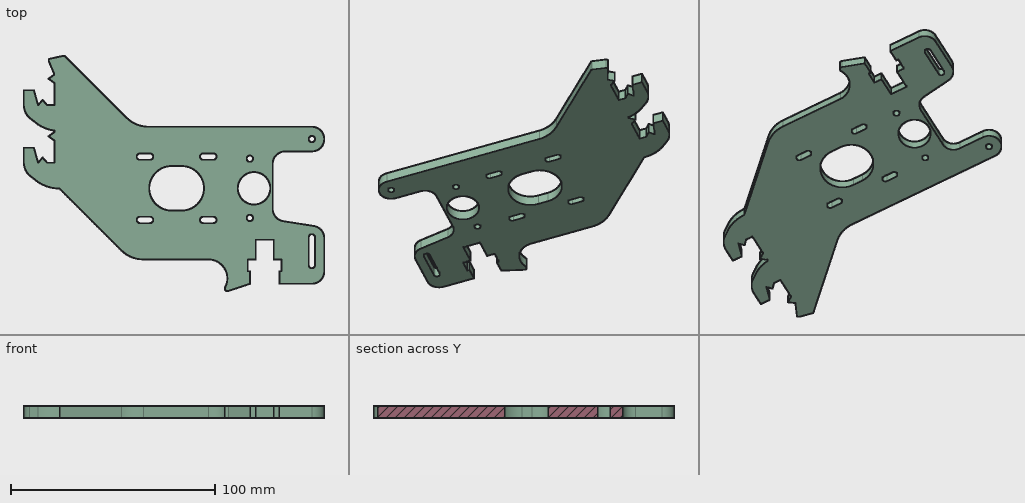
import cadquery as cq
import math

THICKNESS = 6.0

TOP_EDGE_Y = 30.0
BOTTOM_EDGE_Y = -35.1
UPPER_DIAGONAL_SUM = 84.8
LOWER_DIAGONAL_SUM = 17.2
DIAGONAL_BLEND_RADIUS = 15.0

HOOK_PITCH = 28.2
HOOK_WALL_X = 15.0
HOOK_FLOOR_Y = 12.4
HOOK_TOP_Y = 19.7
HOOK_TOP_WIDTH = 5.05
HOOK_INNER_FOOT_X = 7.1
SHOULDER_RADIUS = 9.0
SHOULDER_START_Y = 12.6
BELLY_RADIUS = 19.0
BELLY_BOTTOM_Y = -0.4
BELLY_START_X = 7.0
TOOTH_HEIGHT = 2.5
FLOOR_TOOTH_TIP_X = 9.3
FLOOR_TOOTH_END_X = 11.5
WALL_TOOTH_TIP_Y = 25.25
WALL_TOOTH_DEPTH = 2.9
WALL_TOOTH_HALF_WIDTH = 2.1

NOSE_LEFT = (11.8, 63.1)
NOSE_TOP_X = 20.0
NOSE_LEFT_RADIUS = 1.0
NOSE_TOP_RADIUS = 0.5

RIGHT_X = 147.23
ARM_RADIUS = 6.1
GAP_X = 122.0
GAP_CORNER_RADIUS = 6.0

FOOT_BOTTOM_Y = -47.0
FOOT_TOP_LEFT_Y = -15.45
FOOT_TOP_RIGHT_Y = -19.4
FOOT_CORNER_RADIUS = 6.1

NOTCH_X = 118.0
NOTCH_MOUTH_WIDTH = 14.3
NOTCH_POCKET_WIDTH = 16.5
NOTCH_NECK_WIDTH = 8.7
NOTCH_LIP_Y = -40.8
NOTCH_TOP_Y = -25.4

CLAW_RADIUS = 9.2
CLAW_CENTER_X = 90.5
CLAW_END_ANGLE = -28.5
CLAW_TIP_RADIUS = 1.3

AXIS_Y = -0.2

MOTOR_X = 74.9
MOTOR_BORE = 21.7
MOTOR_TRAVEL = 5.0
MOTOR_SCREW_SPACING = 31.0
SCREW_DIAMETER = 3.0

BEARING_X = 112.8
BEARING_BORE = 15.8
BEARING_SCREW_X = 110.75
BEARING_SCREW_SPACING = 29.0

FOOT_SLOT_LENGTH = 16.6
FOOT_SLOT_Y = -31.0

ARM_CENTER = (RIGHT_X - ARM_RADIUS, TOP_EDGE_Y - ARM_RADIUS)
GAP_TOP_Y = TOP_EDGE_Y - 2 * ARM_RADIUS
BELLY_END_X = LOWER_DIAGONAL_SUM - BELLY_BOTTOM_Y


def on_circle(center, radius, degrees):
    angle = math.radians(degrees)
    return (center[0] + radius * math.cos(angle), center[1] + radius * math.sin(angle))


def belly_point(x, rise):
    """Point at x on the shallow arc under a hook, level where it meets the lower diagonal."""
    across = BELLY_END_X - x
    drop = math.sqrt(BELLY_RADIUS**2 - across**2)
    return (x, BELLY_BOTTOM_Y + BELLY_RADIUS - drop + rise)


def add_hook(sketch, rise, end_x):
    """Continue the outline from under a hook, starting at end_x, round it and up past its wall tooth."""
    shoulder = (SHOULDER_RADIUS, SHOULDER_START_Y + rise)
    floor_y = HOOK_FLOOR_Y + rise
    top_y = HOOK_TOP_Y + rise
    tooth_y = WALL_TOOTH_TIP_Y + rise
    return (
        sketch.lineTo(*belly_point(end_x, rise))
        .threePointArc(belly_point((end_x + BELLY_START_X) / 2, rise), belly_point(BELLY_START_X, rise))
        .lineTo(*on_circle(shoulder, SHOULDER_RADIUS, 225))
        .threePointArc(on_circle(shoulder, SHOULDER_RADIUS, 202.5), (0, shoulder[1]))
        .lineTo(0, top_y)
        .lineTo(HOOK_TOP_WIDTH, top_y)
        .lineTo(HOOK_INNER_FOOT_X, floor_y)
        .lineTo(FLOOR_TOOTH_TIP_X, floor_y + TOOTH_HEIGHT)
        .lineTo(FLOOR_TOOTH_END_X, floor_y)
        .lineTo(HOOK_WALL_X, floor_y)
        .lineTo(HOOK_WALL_X, tooth_y - WALL_TOOTH_HALF_WIDTH)
        .lineTo(HOOK_WALL_X - WALL_TOOTH_DEPTH, tooth_y)
        .lineTo(HOOK_WALL_X, tooth_y + WALL_TOOTH_HALF_WIDTH)
    )


def add_claw(sketch, mouth_corner):
    """Continue the outline from the notch mouth round the claw to the bottom edge."""
    center = (CLAW_CENTER_X, BOTTOM_EDGE_Y - CLAW_RADIUS)
    tip = on_circle(center, CLAW_RADIUS + CLAW_TIP_RADIUS, CLAW_END_ANGLE)
    run = mouth_corner[0] - tip[0]
    rise = mouth_corner[1] - tip[1]
    touch_angle = math.degrees(
        math.atan2(rise, run) - math.acos(CLAW_TIP_RADIUS / math.hypot(run, rise))
    )
    contact_angle = CLAW_END_ANGLE - 180
    return (
        sketch.lineTo(*on_circle(tip, CLAW_TIP_RADIUS, touch_angle))
        .threePointArc(
            on_circle(tip, CLAW_TIP_RADIUS, (touch_angle + contact_angle) / 2),
            on_circle(center, CLAW_RADIUS, CLAW_END_ANGLE),
        )
        .threePointArc(
            on_circle(center, CLAW_RADIUS, (CLAW_END_ANGLE + 90) / 2),
            (CLAW_CENTER_X, BOTTOM_EDGE_Y),
        )
    )


def notch_side(side):
    """Corners of one side of the stepped notch, from the mouth up; side is +1 or -1."""
    mouth_x = NOTCH_X + side * NOTCH_MOUTH_WIDTH / 2
    pocket_x = NOTCH_X + side * NOTCH_POCKET_WIDTH / 2
    neck_x = NOTCH_X + side * NOTCH_NECK_WIDTH / 2
    return [
        (mouth_x, FOOT_BOTTOM_Y),
        (mouth_x, NOTCH_LIP_Y),
        (pocket_x, NOTCH_LIP_Y),
        (pocket_x, BOTTOM_EDGE_Y),
        (neck_x, BOTTOM_EDGE_Y),
        (neck_x, NOTCH_TOP_Y),
    ]


def round_corner(body, corner, radius):
    edge = cq.selectors.NearestToPointSelector((*corner, THICKNESS / 2))
    return body.edges("|Z").edges(edge).fillet(radius)


lower_bend = (LOWER_DIAGONAL_SUM - BOTTOM_EDGE_Y, BOTTOM_EDGE_Y)
upper_bend = (UPPER_DIAGONAL_SUM - TOP_EDGE_Y, TOP_EDGE_Y)
nose_top = (NOSE_TOP_X, UPPER_DIAGONAL_SUM - NOSE_TOP_X)
gap_top = (GAP_X, GAP_TOP_Y)
gap_bottom = (GAP_X, FOOT_TOP_LEFT_Y)
foot_top = (RIGHT_X, FOOT_TOP_RIGHT_Y)
foot_bottom = (RIGHT_X, FOOT_BOTTOM_Y)
right_notch = notch_side(+1)
left_notch = notch_side(-1)[::-1]


def make_plate():
    outline = (
        cq.Workplane("XY")
        .moveTo(*upper_bend)
        .lineTo(ARM_CENTER[0], TOP_EDGE_Y)
        .threePointArc((RIGHT_X, ARM_CENTER[1]), (ARM_CENTER[0], GAP_TOP_Y))
    )
    for point in [gap_top, gap_bottom, foot_top, foot_bottom] + right_notch + left_notch:
        outline = outline.lineTo(*point)
    outline = add_claw(outline, left_notch[-1]).lineTo(*lower_bend)
    outline = add_hook(outline, 0, BELLY_END_X)
    outline = add_hook(outline, HOOK_PITCH, HOOK_WALL_X)
    plate = outline.lineTo(*NOSE_LEFT).lineTo(*nose_top).close().extrude(THICKNESS)
    for corner, radius in [
        (lower_bend, DIAGONAL_BLEND_RADIUS),
        (upper_bend, DIAGONAL_BLEND_RADIUS),
        (NOSE_LEFT, NOSE_LEFT_RADIUS),
        (nose_top, NOSE_TOP_RADIUS),
        (gap_top, GAP_CORNER_RADIUS),
        (gap_bottom, GAP_CORNER_RADIUS),
        (foot_top, FOOT_CORNER_RADIUS),
        (foot_bottom, FOOT_CORNER_RADIUS),
    ]:
        plate = round_corner(plate, corner, radius)
    return plate


def hole_cutter(points, diameter):
    return cq.Workplane("XY").pushPoints(points).circle(diameter / 2).extrude(THICKNESS)


def slot_cutter(points, length, width, angle=0):
    return cq.Workplane("XY").pushPoints(points).slot2D(length, width, angle).extrude(THICKNESS)


def cut_motor_mount(body):
    half = MOTOR_SCREW_SPACING / 2
    screws = [(MOTOR_X + i * half, AXIS_Y + j * half) for i in (-1, 1) for j in (-1, 1)]
    body = body.cut(slot_cutter([(MOTOR_X, AXIS_Y)], MOTOR_BORE + MOTOR_TRAVEL, MOTOR_BORE))
    return body.cut(slot_cutter(screws, SCREW_DIAMETER + MOTOR_TRAVEL, SCREW_DIAMETER))


def cut_bearing_mount(body):
    screws = [(BEARING_SCREW_X, AXIS_Y + side * BEARING_SCREW_SPACING / 2) for side in (-1, 1)]
    body = body.cut(hole_cutter([(BEARING_X, AXIS_Y)], BEARING_BORE))
    return body.cut(hole_cutter(screws, SCREW_DIAMETER))


def cut_arm_and_foot(body):
    slot_center = (ARM_CENTER[0], FOOT_SLOT_Y)
    body = body.cut(hole_cutter([ARM_CENTER], SCREW_DIAMETER))
    return body.cut(slot_cutter([slot_center], FOOT_SLOT_LENGTH, SCREW_DIAMETER, 90))


result = cut_arm_and_foot(cut_bearing_mount(cut_motor_mount(make_plate())))